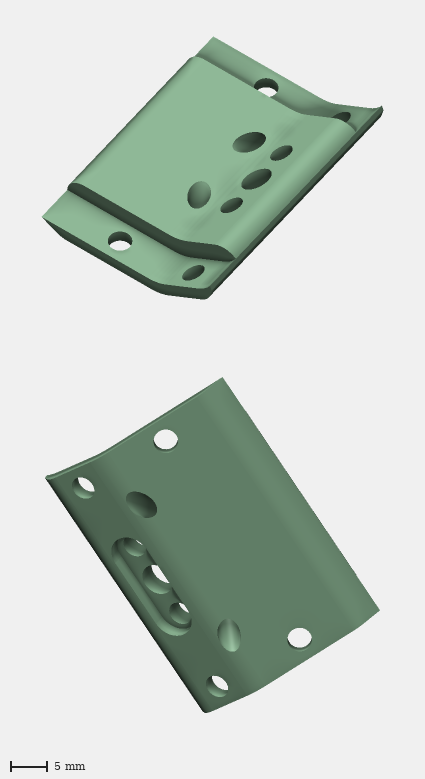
import cadquery as cq
import math

length = 40.0
tilt = 30.0
bend_x = 20.5
bend_radius = 6.0
edge_radius = 3.0
base_thickness = 2.0
full_thickness = 5.0
ledge_width = 6.0
rib_length = length - 2 * ledge_width

edge_centre_x = 26.9
tip_angle = 45.0
nose_x = 29.3
nose_z = 7.3
nose_lean = 13.0

bolt_diameter = 3.4
level_bolt_x = 11.3
tilted_bolt_x = 23.95
bolt_y = 17.0
rib_holes_x = 22.25
centre_hole_diameter = 4.6
side_hole_y = 5.8
slot_length = 16.4
slot_width = 6.0
slot_depth = 2.0
oblique_x = 16.7
oblique_y = 5.85
oblique_diameter = 3.2
oblique_heading = 65.0
oblique_slope = 40.0
cutter_length = 24.0
cutter_lead = 4.0

tilt_rad = math.radians(tilt)
tilt_sin = math.sin(tilt_rad)
tilt_cos = math.cos(tilt_rad)
into_tilted_wing = cq.Vector(tilt_sin, 0, -tilt_cos)


def bend_corner(height):
    """Sharp corner of the bent surface at a given height above the underside."""
    return bend_x - height * math.tan(tilt_rad / 2), height


def tilted_z(x, height):
    corner_x, corner_z = bend_corner(height)
    return corner_z + (x - corner_x) * math.tan(tilt_rad)


edge_centre_z = tilted_z(edge_centre_x, base_thickness)


def on_edge_circle(angle):
    radians = math.radians(angle)
    x = edge_centre_x + edge_radius * math.cos(radians)
    return x, edge_centre_z + edge_radius * math.sin(radians)


tip = on_edge_circle(tip_angle)
ledge_end = (edge_centre_x, edge_centre_z)


def ledge_curl(sketch):
    """Arc from the tip down to the ledge, tangent to the ledge."""
    sweep = math.radians(2 * (tip_angle - tilt))
    sag = edge_radius / 2 * math.tan(sweep / 4)
    chord = math.radians(tip_angle)
    middle_x = (tip[0] + ledge_end[0]) / 2 + sag * math.sin(chord)
    middle_z = (tip[1] + ledge_end[1]) / 2 - sag * math.cos(chord)
    return sketch.threePointArc((middle_x, middle_z), ledge_end)


def extrude_along_y(sketch, distance):
    return sketch.close().extrude(distance / 2, both=True)


def round_edge(body, corner, radius):
    selector = cq.selectors.NearestToPointSelector((corner[0], 0, corner[1]))
    return body.edges("|Y").edges(selector).fillet(radius)


def make_base():
    lower_left = (base_thickness / math.tan(tilt_rad), 0)
    lean = math.tan(math.radians(nose_lean))
    slope = math.tan(tilt_rad)
    drop = (nose_z - tilted_z(nose_x, 0)) / (1 - slope * lean)
    lower_right = (nose_x - drop * lean, nose_z - drop)
    nose = (nose_x, nose_z)
    sketch = cq.Workplane("XZ").moveTo(0, base_thickness)
    for point in (lower_left, bend_corner(0), lower_right, nose, tip):
        sketch = sketch.lineTo(*point)
    sketch = ledge_curl(sketch).lineTo(*bend_corner(base_thickness))
    body = extrude_along_y(sketch, length)
    body = round_edge(body, lower_left, edge_radius)
    body = round_edge(body, lower_right, edge_radius)
    body = round_edge(body, bend_corner(0), bend_radius)
    return round_edge(body, bend_corner(base_thickness), bend_radius)


def make_rib():
    corner = edge_radius * math.sin(math.pi / 4)
    sketch = (
        cq.Workplane("XZ")
        .moveTo(0, base_thickness)
        .threePointArc(
            (edge_radius - corner, base_thickness + corner),
            (edge_radius, full_thickness),
        )
        .lineTo(*bend_corner(full_thickness))
        .lineTo(*on_edge_circle(90 + tilt))
        .threePointArc(on_edge_circle(90), tip)
    )
    sketch = ledge_curl(sketch).lineTo(*bend_corner(base_thickness))
    body = extrude_along_y(sketch, rib_length)
    body = round_edge(body, bend_corner(full_thickness), bend_radius)
    return round_edge(body, bend_corner(base_thickness), bend_radius)


def hole(diameter, entry, direction):
    start = cq.Vector(*entry) - direction.normalized() * cutter_lead
    return cq.Workplane(cq.Solid.makeCylinder(diameter / 2, cutter_length, start, direction))


def underside_slot():
    """Recess in the tilted underside around the row of three rib holes."""
    centre = cq.Vector(rib_holes_x, 0, tilted_z(rib_holes_x, full_thickness))
    floor = centre + into_tilted_wing * (full_thickness - slot_depth)
    plane = cq.Plane(origin=floor.toTuple(), xDir=(0, 1, 0), normal=into_tilted_wing.toTuple())
    return cq.Workplane(plane).slot2D(slot_length, slot_width).extrude(slot_depth + cutter_lead)


result = make_base().union(make_rib())

rib_holes_z = tilted_z(rib_holes_x, full_thickness)
centre_entry = (rib_holes_x, 0, rib_holes_z)
result = result.cut(hole(centre_hole_diameter, centre_entry, into_tilted_wing))

for side in (-1, 1):
    level_entry = (level_bolt_x, side * bolt_y, base_thickness)
    result = result.cut(hole(bolt_diameter, level_entry, cq.Vector(0, 0, -1)))

    tilted_entry = (tilted_bolt_x, side * bolt_y, tilted_z(tilted_bolt_x, base_thickness))
    result = result.cut(hole(bolt_diameter, tilted_entry, into_tilted_wing))

    side_entry = (rib_holes_x, side * side_hole_y, rib_holes_z)
    result = result.cut(hole(bolt_diameter, side_entry, into_tilted_wing))

    heading = math.radians(oblique_heading)
    descent = math.tan(math.radians(oblique_slope))
    oblique_direction = cq.Vector(math.cos(heading), side * math.sin(heading), -descent)
    oblique_entry = (oblique_x, side * oblique_y, full_thickness)
    result = result.cut(hole(oblique_diameter, oblique_entry, oblique_direction))

result = result.cut(underside_slot())